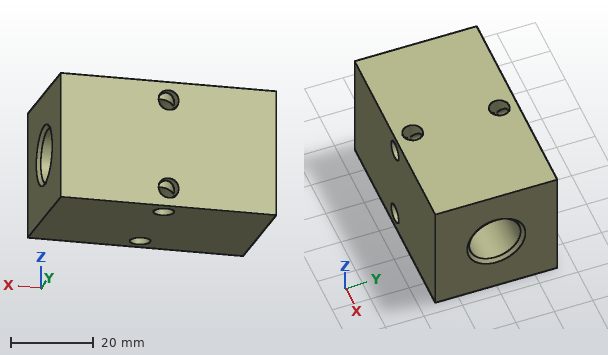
import cadquery as cq

length = 54.0
side = 31.75

bore_diameter = 13.35
mouth_diameter = 15.1
chamfer_size = (mouth_diameter - bore_diameter) / 2

cross_hole_diameter = 5.0
cross_hole_spacing = 22.5


def drill_cross_holes(body, face):
    """Drill a pair of through holes, set apart across the width of a long face."""
    offset = cross_hole_spacing / 2
    return (
        body.faces(face)
        .workplane(origin=(0, 0, 0))
        .pushPoints([(0, -offset), (0, offset)])
        .hole(cross_hole_diameter)
    )


block = cq.Workplane("XY").box(length, side, side)
bored = block.faces(">X").workplane().hole(bore_diameter)
bored = bored.faces("<X or >X").edges("%CIRCLE").chamfer(chamfer_size)

result = bored
for long_face in ("<Y", ">Z"):
    result = drill_cross_holes(result, long_face)